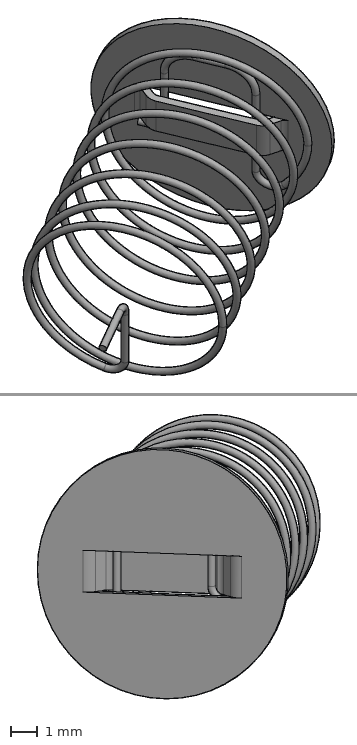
import cadquery as cq
import math


disc_diameter = 9.5
sheet_thickness = 0.3
strap_width = 1.59
strap_half_length = 3.02
strap_flat_half_length = 1.99
strap_bend_angle = math.radians(45)
strap_inside_radius = 0.346

wire_diameter = 0.3
wire_radius = wire_diameter / 2
coil_radius = 3.85
coil_turns = 6
coil_length = 10.0
coil_pitch = coil_length / coil_turns
first_turn_y = -wire_radius
last_turn_y = first_turn_y - coil_length

leg_x = 1.8
hairpin_top_z = 3.19
hairpin_bend_radius = 1.16
foot_exit_z = -2.06
toe_bend_radius = 0.5
toe_z = -0.95
toe_tip_x = -2.81

total_length = 13.06
lead_start_z = -3.13
lead_bend_radius = 0.6
lead_tip_y = sheet_thickness - total_length


def point_on_circle(center, radius, angle):
    return (center[0] + radius * math.cos(angle), center[1] + radius * math.sin(angle))


def coil_blend_radius(offset_x, offset_z):
    """Radius of an arc that starts upright at this offset and ends inside-tangent to the coil circle."""
    return (coil_radius**2 - offset_x**2 - offset_z**2) / (2 * (coil_radius + offset_x))


def sweep_wire(path, start, direction):
    """Round wire along a path that leaves the start point in the given direction."""
    section_plane = cq.Plane(origin=start, normal=direction)
    return cq.Workplane(section_plane).circle(wire_radius).sweep(path)


def bend_point(center, radius, angle):
    """Point of a strap bend, with the angle measured from the sheet normal."""
    return (center[0] + radius * math.sin(angle), center[1] - radius * math.cos(angle))


def make_strap():
    """Band raised by one sheet thickness, with two opposite bends at each end."""
    inner = strap_inside_radius
    outer = inner + sheet_thickness
    flat_y = -2 * sheet_thickness
    high_center = (strap_flat_half_length, flat_y + outer)
    low_center = (strap_half_length, -inner)
    full = strap_bend_angle
    half = full / 2
    right_half = (
        cq.Workplane("XY", origin=(0, 0, -strap_width / 2))
        .moveTo(0, flat_y)
        .lineTo(strap_flat_half_length, flat_y)
        .threePointArc(bend_point(high_center, outer, half), bend_point(high_center, outer, full))
        .lineTo(*bend_point(low_center, -inner, full))
        .threePointArc(bend_point(low_center, -inner, half), (strap_half_length, 0))
        .lineTo(strap_half_length, sheet_thickness)
        .threePointArc(bend_point(low_center, -outer, half), bend_point(low_center, -outer, full))
        .lineTo(*bend_point(high_center, inner, full))
        .threePointArc(bend_point(high_center, inner, half),
                       (strap_flat_half_length, flat_y + sheet_thickness))
        .lineTo(0, flat_y + sheet_thickness)
        .close()
        .extrude(strap_width)
    )
    return right_half.union(right_half.mirror("YZ"))


def make_disc():
    """Round plate, open behind the strap that is formed out of it."""
    plate = cq.Workplane("XZ").circle(disc_diameter / 2).extrude(-sheet_thickness)
    window = cq.Workplane("XZ").rect(2 * strap_half_length, strap_width).extrude(-sheet_thickness)
    return plate.cut(window).union(make_strap())


def make_foot():
    """Toe, hairpin and the bend that brings the wire out to the first turn."""
    bend = hairpin_bend_radius
    shoulder_z = hairpin_top_z - bend
    toe_center = (-leg_x - toe_bend_radius, toe_z + toe_bend_radius)
    left_center = (-leg_x + bend, shoulder_z)
    right_center = (leg_x - bend, shoulder_z)
    blend_radius = coil_blend_radius(leg_x, foot_exit_z)
    blend_center = (leg_x + blend_radius, foot_exit_z)
    join_angle = math.atan2(blend_center[1], blend_center[0])
    path = (
        cq.Workplane("XZ", origin=(0, first_turn_y, 0))
        .moveTo(toe_tip_x, toe_z)
        .lineTo(toe_center[0], toe_z)
        .threePointArc(point_on_circle(toe_center, toe_bend_radius, math.radians(-45)),
                       (-leg_x, toe_center[1]))
        .lineTo(-leg_x, shoulder_z)
        .threePointArc(point_on_circle(left_center, bend, math.radians(135)),
                       (left_center[0], hairpin_top_z))
        .lineTo(right_center[0], hairpin_top_z)
        .threePointArc(point_on_circle(right_center, bend, math.radians(45)), (leg_x, shoulder_z))
        .lineTo(leg_x, foot_exit_z)
        .threePointArc(point_on_circle(blend_center, blend_radius, (join_angle - math.pi) / 2),
                       point_on_circle((0, 0), coil_radius, join_angle))
        .threePointArc(point_on_circle((0, 0), coil_radius, join_angle / 2), (coil_radius, 0))
    )
    return sweep_wire(path, (toe_tip_x, first_turn_y, toe_z), (1, 0, 0))


def make_coil():
    """Six open turns, starting at +X and rising from +X toward +Z."""
    helix = cq.Wire.makeHelix(coil_pitch, coil_length, coil_radius)
    coil = (
        cq.Workplane("XZ")
        .center(coil_radius, 0)
        .circle(wire_radius)
        .sweep(cq.Workplane(obj=helix), isFrenet=True)
    )
    return coil.rotate((0, 0, 0), (1, 0, 0), 90).translate((0, first_turn_y, 0))


def make_end_turn():
    """Flat last turn that bends inward and runs up to the lead."""
    blend_radius = coil_blend_radius(0, lead_start_z)
    blend_center = (-blend_radius, lead_start_z)
    join_angle = math.atan2(blend_center[1], blend_center[0]) + 2 * math.pi
    path = (
        cq.Workplane("XZ", origin=(0, last_turn_y, 0))
        .moveTo(coil_radius, 0)
        .threePointArc(point_on_circle((0, 0), coil_radius, join_angle / 2),
                       point_on_circle((0, 0), coil_radius, join_angle))
        .threePointArc(point_on_circle(blend_center, blend_radius, join_angle / 2 + math.pi),
                       (0, lead_start_z))
        .lineTo(0, -lead_bend_radius)
    )
    return sweep_wire(path, (coil_radius, last_turn_y, 0), (0, 0, 1))


def make_lead():
    """Bend from the end turn onto the coil axis, and the straight tip."""
    bend_center = (last_turn_y - lead_bend_radius, -lead_bend_radius)
    path = (
        cq.Workplane("YZ")
        .moveTo(last_turn_y, -lead_bend_radius)
        .threePointArc(point_on_circle(bend_center, lead_bend_radius, math.radians(45)),
                       (bend_center[0], 0))
        .lineTo(lead_tip_y, 0)
    )
    return sweep_wire(path, (0, last_turn_y, -lead_bend_radius), (0, 0, 1))


def make_spring():
    return make_foot().union(make_coil()).union(make_end_turn()).union(make_lead())


disc = make_disc()
spring = make_spring()

result = cq.Compound.makeCompound([disc.val(), spring.val()])